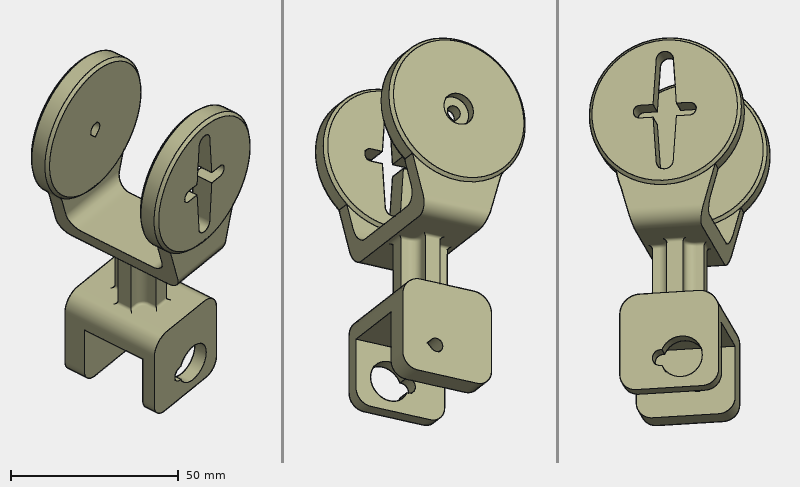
import cadquery as cq
import math

total_height = 108.1
disc_diameter = 46.2
disc_chamfer = 0.99
fork_width = 46.4
fork_wall = 5.0
fork_bottom = 49.9
fork_corner_radius = 5.0
floor_half_width = 10.2
arm_half_width_at_axis = 20.0
arm_blend_radius = 5.0

disc_radius = disc_diameter / 2
disc_axis_z = total_height - disc_radius
disc_thickness = fork_wall + 2 * disc_chamfer
arm_center_x = (fork_width - fork_wall) / 2

clevis_width = 33.9
clevis_depth = 30.0
clevis_height = 30.0
clevis_top_radius = 6.0
clevis_bottom_radius = 5.0
gap_left = -9.5
gap_right = 12.5
gap_height = 21.0

post_width = 15.7
post_rib = 5.0
post_inner_radius = 3.0
post_end_fillet = 1.0
post_selection_margin = 0.2

pivot_radius = 2.2
screw_recess_radius = 5.0
screw_recess_depth = 3.0
servo_axis_y = 3.7
servo_axis_z = 9.6

gear_radius = 6.4
gear_bump_radius = 2.5
gear_bump_offset = 6.3

horn_length = 37.0
horn_root_half_width = 3.7
horn_tip_radius = 2.6
horn_cross_length = 19.0
horn_cross_width = 4.0


def along_x(x, y, z):
    """Sketch plane facing +X, with local axes along Y and Z."""
    return cq.Workplane("YZ", origin=(x, y, z))


def disc(center_x):
    start = along_x(center_x - disc_thickness / 2, 0, disc_axis_z)
    blank = start.circle(disc_radius).extrude(disc_thickness)
    return blank.faces("<X or >X").chamfer(disc_chamfer)


def fork_side_outline():
    """Side outline of the arms: a taper that widens until it meets the round discs."""
    taper = (
        along_x(-fork_width / 2, 0, 0)
        .moveTo(-floor_half_width, fork_bottom)
        .lineTo(floor_half_width, fork_bottom)
        .lineTo(arm_half_width_at_axis, disc_axis_z)
        .lineTo(-arm_half_width_at_axis, disc_axis_z)
        .close()
        .extrude(fork_width)
    )
    rounds = along_x(-fork_width / 2, 0, disc_axis_z).circle(disc_radius).extrude(fork_width)
    return taper.union(rounds)


def fork():
    height = total_height - fork_bottom
    channel = (
        cq.Workplane("XY", origin=(0, 0, fork_bottom))
        .box(fork_width, disc_diameter, height, centered=(True, True, False))
        .edges("|Y and <Z")
        .fillet(fork_corner_radius)
    )
    inside = (
        cq.Workplane("XY", origin=(0, 0, fork_bottom + fork_wall))
        .box(fork_width - 2 * fork_wall, disc_diameter, height, centered=(True, True, False))
        .edges("|Y and <Z")
        .fillet(fork_corner_radius)
    )
    return channel.cut(inside).intersect(fork_side_outline())


def clevis():
    block = cq.Workplane("XY").box(clevis_width, clevis_depth, clevis_height, centered=(True, True, False))
    block = block.edges("|X and >Z").fillet(clevis_top_radius)
    block = block.edges("|X and <Z").fillet(clevis_bottom_radius)
    gap = cq.Workplane("XY", origin=((gap_left + gap_right) / 2, 0, 0)).box(
        gap_right - gap_left, clevis_depth, gap_height, centered=(True, True, False)
    )
    return block.cut(gap)


def post():
    length = fork_bottom - clevis_height
    base = cq.Workplane("XY", origin=(0, 0, clevis_height))
    rib = base.rect(post_width, post_rib).extrude(length)
    cross = rib.union(base.rect(post_rib, post_width).extrude(length))
    inner = cq.selectors.BoxSelector(
        (-post_rib, -post_rib, clevis_height), (post_rib, post_rib, fork_bottom)
    )
    return cross.edges("|Z").edges(inner).fillet(post_inner_radius)


def teardrop(x, y, z, length, point_angle):
    """Round hole along X with a 90 degree point at point_angle, measured from +Y toward +Z."""
    offset = pivot_radius / math.sqrt(2)
    return (
        along_x(x, y, z)
        .transformed(rotate=(0, 0, point_angle))
        .moveTo(offset, offset)
        .threePointArc((-pivot_radius, 0), (offset, -offset))
        .lineTo(2 * offset, 0)
        .close()
        .extrude(length)
    )


def horn_slot():
    tip_z = horn_length / 2 - horn_tip_radius
    start = along_x(arm_center_x - disc_thickness / 2, 0, disc_axis_z)
    long_arm = (
        start.moveTo(horn_root_half_width, 0)
        .lineTo(horn_tip_radius, tip_z)
        .threePointArc((0, horn_length / 2), (-horn_tip_radius, tip_z))
        .lineTo(-horn_root_half_width, 0)
        .lineTo(-horn_tip_radius, -tip_z)
        .threePointArc((0, -horn_length / 2), (horn_tip_radius, -tip_z))
        .close()
        .extrude(disc_thickness)
    )
    return long_arm.union(start.slot2D(horn_cross_length, horn_cross_width).extrude(disc_thickness))


def gear_opening():
    length = clevis_width / 2 - gap_right
    housing = along_x(gap_right, servo_axis_y, servo_axis_z).circle(gear_radius).extrude(length)
    bump_y = servo_axis_y - gear_bump_offset
    bump = along_x(gap_right, bump_y, servo_axis_z).circle(gear_bump_radius).extrude(length)
    return housing.union(bump)


def blend_front_left_arm(plain_fork):
    """Fillet the front corner where the left arm's taper runs into its round disc."""
    front_left = cq.selectors.BoxSelector(
        (-fork_width / 2, -disc_radius, fork_bottom + 2 * fork_wall),
        (-fork_width / 2 + fork_wall, -floor_half_width, disc_axis_z - fork_wall),
    )
    return plain_fork.edges("|X").edges(front_left).fillet(arm_blend_radius)


def fillet_post_end(solid, z):
    """Round the inside corner where the post meets the flat face at height z."""
    reach = post_width / 2 + post_selection_margin
    around_post = cq.selectors.BoxSelector(
        (-reach, -reach, z - post_selection_margin), (reach, reach, z + post_selection_margin)
    )
    return solid.edges(around_post).fillet(post_end_fillet)


body = clevis().union(post()).union(blend_front_left_arm(fork()))
for end_z in (clevis_height, fork_bottom):
    body = fillet_post_end(body, end_z)
body = body.union(disc(-arm_center_x)).union(disc(arm_center_x))

left_face_x = -arm_center_x - disc_thickness / 2
body = body.cut(teardrop(left_face_x, 0, disc_axis_z, disc_thickness, -90))
body = body.cut(
    along_x(left_face_x, 0, disc_axis_z).circle(screw_recess_radius).extrude(screw_recess_depth)
)

body = body.cut(horn_slot())

left_leg_x = -clevis_width / 2
body = body.cut(teardrop(left_leg_x, servo_axis_y, servo_axis_z, gap_left - left_leg_x, 0))
result = body.cut(gear_opening())